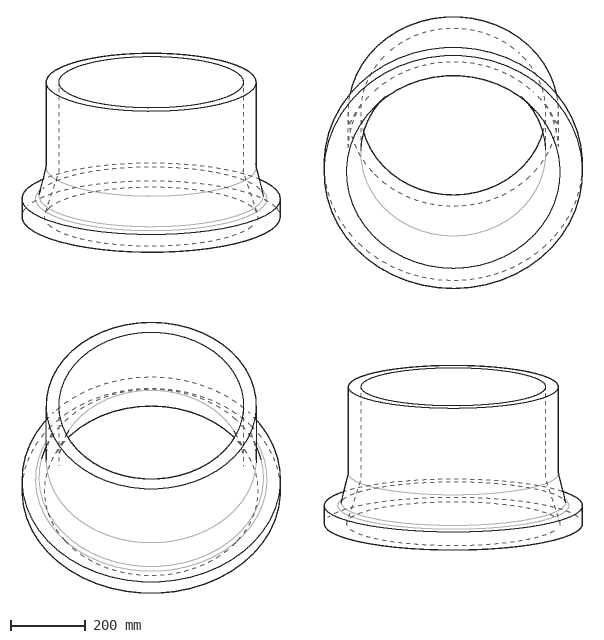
import cadquery as cq

flange_diameter = 690.0
total_height = 373.0

flange_thickness = 50.0
pipe_diameter = 561.0
cone_top_height = 137.0
cone_base_diameter = 599.0
fillet_top_height = 58.0
fillet_base_diameter = 617.5

bore_diameter = 493.5
bore_cone_height = 119.5
bore_mouth_diameter = 570.0

flange_radius = flange_diameter / 2
pipe_radius = pipe_diameter / 2
cone_base_radius = cone_base_diameter / 2
fillet_base_radius = fillet_base_diameter / 2
bore_radius = bore_diameter / 2
bore_mouth_radius = bore_mouth_diameter / 2

fillet_run = fillet_base_radius - cone_base_radius
fillet_rise = fillet_top_height - flange_thickness
fillet_radius = (fillet_run**2 + fillet_rise**2) / (2 * fillet_rise)

profile = (
    cq.Workplane("XZ")
    .moveTo(bore_mouth_radius, 0)
    .lineTo(flange_radius, 0)
    .lineTo(flange_radius, flange_thickness)
    .lineTo(fillet_base_radius, flange_thickness)
    .radiusArc((cone_base_radius, fillet_top_height), fillet_radius)
    .lineTo(pipe_radius, cone_top_height)
    .lineTo(pipe_radius, total_height)
    .lineTo(bore_radius, total_height)
    .lineTo(bore_radius, bore_cone_height)
    .close()
)

result = profile.revolve(360, (0, 0, 0), (0, 1, 0))